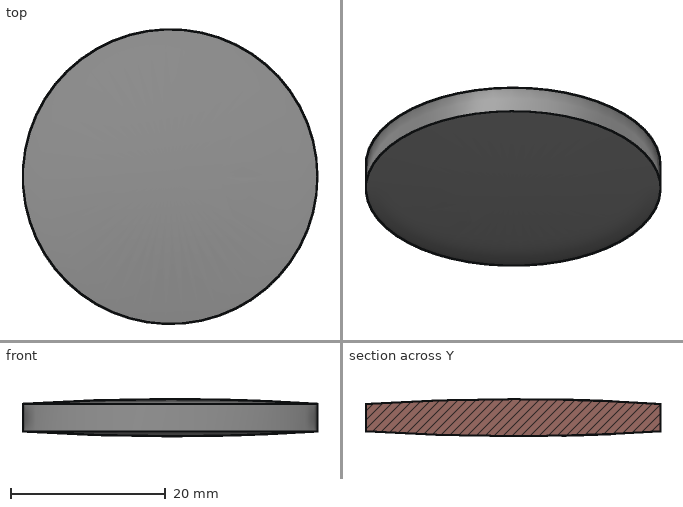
import math

import cadquery as cq

diameter = 38.1
center_thickness = 4.85
edge_thickness = 3.6

radius = diameter / 2
half_center = center_thickness / 2
half_edge = edge_thickness / 2

cap_height = half_center - half_edge
sphere_radius = (radius**2 + cap_height**2) / (2 * cap_height)

mid_radius = radius / 2
mid_height = half_center - sphere_radius + math.sqrt(sphere_radius**2 - mid_radius**2)

half_section = (
    cq.Workplane("XZ")
    .moveTo(0, -half_center)
    .threePointArc((mid_radius, -mid_height), (radius, -half_edge))
    .lineTo(radius, half_edge)
    .threePointArc((mid_radius, mid_height), (0, half_center))
    .close()
)

result = half_section.revolve(360, (0, 0, 0), (0, 1, 0))